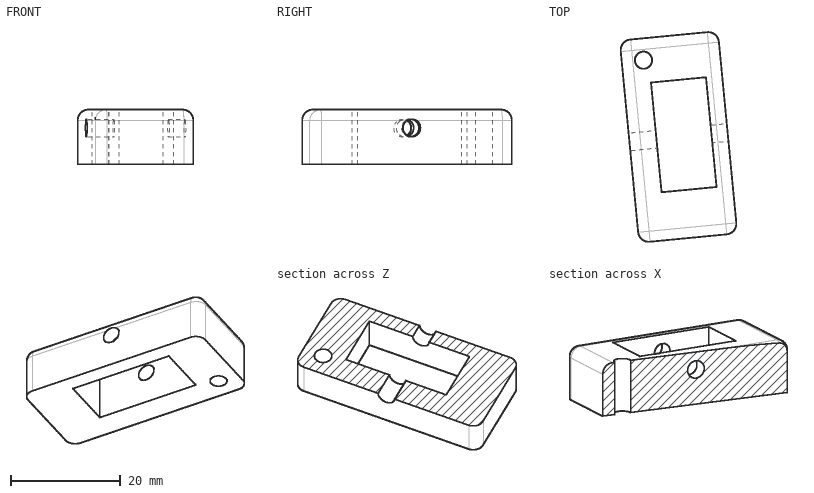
import cadquery as cq

body_width = 18.0
body_length = 37.0
body_height = 10.0
edge_radius = 2.0
turn_angle = 5.5

window_width = 10.0
window_length = 20.0
window_x = 1.0
window_y = 0.3

corner_hole_diameter = 3.1
corner_hole_x = -5.0
corner_hole_y = 14.5

cross_hole_diameter = 3.2
cross_hole_z = 6.65


def make_body():
    """Block with rounded vertical and top edges and a flat, sharp-edged base."""
    block = cq.Workplane("XY").box(body_width, body_length, body_height, centered=(True, True, False))
    return block.edges("|Z or >Z").fillet(edge_radius)


def make_window():
    window = cq.Workplane("XY").center(window_x, window_y)
    return window.rect(window_width, window_length).extrude(body_height)


def make_corner_hole():
    hole = cq.Workplane("XY").center(corner_hole_x, corner_hole_y)
    return hole.circle(corner_hole_diameter / 2).extrude(body_height)


def make_cross_hole():
    hole = cq.Workplane("YZ").center(0, cross_hole_z)
    return hole.circle(cross_hole_diameter / 2).extrude(body_width / 2, both=True)


part = make_body().cut(make_window()).cut(make_corner_hole()).cut(make_cross_hole())
result = part.rotate((0, 0, 0), (0, 0, 1), turn_angle)